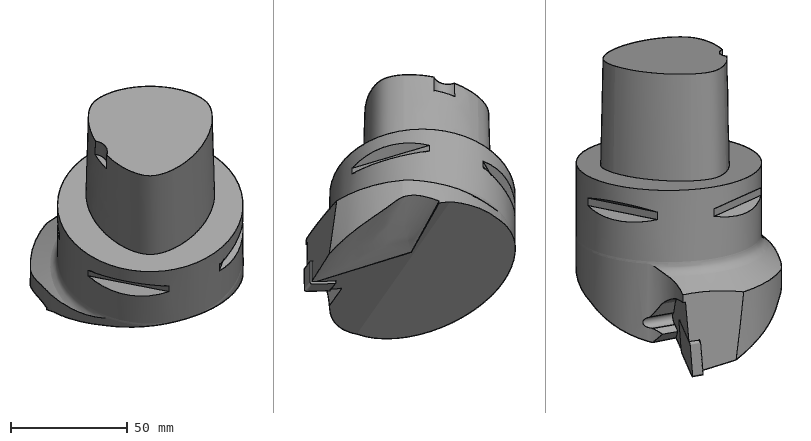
import cadquery as cq
import math


shank_length = 48.0
shank_diameter = 55.5
shank_tip_diameter = 53.5
lobe_rise = 2.0
lobe_half_turn = 33.0
driver_notch_radius = 6.3
driver_notch_depth = 8.3
driver_notch_axis_y = -28.6

flange_radius = 40.0
flange_height = 32.5
grip_groove_z = -11.6
grip_groove_floor_height = 3.4
grip_groove_floor_distance = 35.7
grip_groove_flank = 30.0

neck_fillet = 6.1
shoulder_slope = 30.0
head_back_radius = 40.1
gullet_end_turn = 155.8
wall_start_turn = -54.7
wall_y = -45.3
blank_radius = 70.0
blank_bottom = -90.0
big = 200.0

tip = (-55.03, 0.2, -80.64)
rake_slope_x = 0.15
rake_slope_z = 0.07
insert_edge = 15.5
insert_thickness = 4.8
insert_low_edge = 31.0
insert_corner = 57.0
insert_nose_radius = 0.8
corner_relief_diameter = 5.16
chip_space_length = 30.0


def polar(radius, degrees):
    angle = math.radians(degrees)
    return (radius * math.cos(angle), radius * math.sin(angle))


def lobed_section(diameter, z):
    def point(turn):
        """Outline point where the outward normal is `turn` degrees; one lobe faces +Y."""
        swing = math.radians(3 * (turn - 90))
        along_normal = polar(diameter / 2 + lobe_rise * math.cos(swing), turn)
        sideways = polar(-3 * lobe_rise * math.sin(swing), turn + 90)
        return cq.Vector(along_normal[0] + sideways[0], along_normal[1] + sideways[1], z)

    edges = []
    steps = 8
    for lobe in (90, 210, 330):
        seams = (lobe - lobe_half_turn, lobe + lobe_half_turn, lobe + 120 - lobe_half_turn)
        for start, end in zip(seams, seams[1:]):
            points = [point(start + (end - start) * i / steps) for i in range(steps + 1)]
            edges.append(cq.Edge.makeSpline(points))
    return cq.Wire.assembleEdges(edges)


shank = cq.Workplane(cq.Solid.makeLoft(
    [lobed_section(shank_diameter, 0), lobed_section(shank_tip_diameter, shank_length)], True))
driver_notch = (
    cq.Workplane("XY", origin=(0, driver_notch_axis_y, shank_length - driver_notch_depth))
    .circle(driver_notch_radius)
    .extrude(driver_notch_depth)
)
shank = shank.cut(driver_notch)


flange = cq.Workplane("XY").circle(flange_radius).extrude(-flange_height)
groove_reach = 10.0
groove_mouth = grip_groove_floor_height + 2 * groove_reach * math.tan(math.radians(grip_groove_flank))
grip_groove = (
    cq.Workplane("YZ", origin=(grip_groove_floor_distance, 0, grip_groove_z))
    .rect(2 * flange_radius, grip_groove_floor_height)
    .workplane(offset=groove_reach)
    .rect(2 * flange_radius, groove_mouth)
    .loft(ruled=True)
)
for turn in (45, 135, 225, 315):
    flange = flange.cut(grip_groove.rotate((0, 0, 0), (0, 0, 1), turn))


def flared_blank():
    slope = math.radians(shoulder_slope)
    fillet_center = (flange_radius + neck_fillet, -flange_height)
    fillet_middle = polar(neck_fillet, 180 + (90 - shoulder_slope) / 2)
    fillet_end = polar(neck_fillet, 270 - shoulder_slope)
    cone_start = (fillet_center[0] + fillet_end[0], fillet_center[1] + fillet_end[1])
    cone_end_z = cone_start[1] - (blank_radius - cone_start[0]) * math.tan(slope)
    return (
        cq.Workplane("XZ")
        .moveTo(0, -flange_height)
        .lineTo(flange_radius, -flange_height)
        .threePointArc(
            (fillet_center[0] + fillet_middle[0], fillet_center[1] + fillet_middle[1]), cone_start)
        .lineTo(blank_radius, cone_end_z)
        .lineTo(blank_radius, blank_bottom)
        .lineTo(0, blank_bottom)
        .close()
        .revolve(360, (0, 0, 0), (0, 1, 0))
    )


def head_outline():
    outer_x = -60.0
    back_start = polar(head_back_radius, gullet_end_turn)
    back_end = polar(head_back_radius, wall_start_turn)
    return (
        cq.Workplane("XY")
        .moveTo(outer_x, 4.0)
        .lineTo(-53.0, 4.1)
        .threePointArc((-42.3, 8.6), back_start)
        .threePointArc(polar(head_back_radius, (gullet_end_turn + wall_start_turn) / 2), back_end)
        .lineTo(20.7, -34.45)
        .threePointArc((5.3, -42.55), (-13.0, wall_y))
        .lineTo(-19.1, wall_y)
        .threePointArc((-23.2, -44.95), (-27.4, -43.8))
        .threePointArc((-39.3, -35.8), (-53.0, -16.0))
        .lineTo(outer_x, -10)
        .close()
        .extrude(blank_bottom)
    )


def block_behind_plane(point, normal, x_direction):
    plane = cq.Plane(origin=point, xDir=x_direction, normal=normal)
    return cq.Workplane(plane).rect(big, big).extrude(big)


def block_below(height_at_axis, slope_x, slope_y):
    """Everything under the plane Z = height_at_axis + slope_x * X + slope_y * Y."""
    return block_behind_plane((0, 0, height_at_axis), (slope_x, slope_y, -1), (1, 0, slope_x))


head = flared_blank().intersect(head_outline())

side_slope_y = -0.108
side_slope_z = 0.052
side_offset = -49.75
head = head.cut(block_behind_plane(
    (side_offset, 0, 0), (-1, side_slope_y, side_slope_z), (side_slope_y, 1, 0)))

heel_plane = block_below(height_at_axis=-48.6, slope_x=0.394, slope_y=-0.05)
nose_plane = block_below(height_at_axis=-46.5, slope_x=0.59, slope_y=-0.027)
head = head.cut(heel_plane.intersect(nose_plane))

relief_inner_ends = ((-53.5, -3.0, -78.0), (-11.0, -14.0, -52.4))
relief_wall_points = (
    (-53.9, -15.0, -77.2), (-46.6, -27.9, -69.7), (-39.7, -35.5, -64.2),
    (-32.7, -41.1, -58.0),
    (-27.4, -43.8, -53.1), (-19.1, wall_y, -50.6), (-11.0, wall_y, -50.6),
)
relief_overrun = 1.1


def underside_relief():
    start = cq.Vector(*relief_inner_ends[0])
    end = cq.Vector(*relief_inner_ends[1])
    wall_points = [cq.Vector(*point) for point in relief_wall_points]
    steps = len(wall_points) - 1
    inner_points = [start + (end - start) * (i / steps) for i in range(steps + 1)]
    outer_points = [
        inner + (wall - inner) * relief_overrun for inner, wall in zip(inner_points, wall_points)]
    surface = cq.Face.makeRuledSurface(
        cq.Edge.makeSpline(inner_points, parameters=range(steps + 1)),
        cq.Edge.makeSpline(outer_points, parameters=range(steps + 1)))
    return cq.Workplane(cq.Solid.extrudeLinear(surface, cq.Vector(0, 0, -big)))


head = head.cut(underside_relief())


rake_plane = cq.Plane(origin=tip, xDir=(1, rake_slope_x, 0), normal=(rake_slope_x, -1, rake_slope_z))
low_edge = polar(insert_edge, insert_low_edge)
side_edge = polar(insert_edge, insert_low_edge + insert_corner)
insert = (
    cq.Workplane(rake_plane)
    .polyline([(0, 0), low_edge, (low_edge[0] + side_edge[0], low_edge[1] + side_edge[1]), side_edge])
    .close()
    .extrude(insert_thickness)
    .edges(cq.selectors.ParallelDirSelector(rake_plane.zDir))
    .fillet(insert_nose_radius)
)

relief_corner = (19.3, 21.5)
chip_margin = -10.0
chip_right = 26.0
chip_top = 34.0
chip_space = (
    cq.Workplane(rake_plane)
    .moveTo(chip_margin, chip_top)
    .lineTo(7.5, chip_top)
    .threePointArc((12.5, 33.1), (16.7, 30.0))
    .lineTo(20.1, 24.05)
    .lineTo(*relief_corner)
    .lineTo(19.4, 18.8)
    .lineTo(16.3, 16.6)
    .lineTo(chip_right, 4.2)
    .lineTo(chip_right, chip_margin)
    .lineTo(chip_margin, chip_margin)
    .close()
    .extrude(-chip_space_length)
)
corner_relief = (
    cq.Workplane(rake_plane)
    .center(*relief_corner)
    .circle(corner_relief_diameter / 2)
    .extrude(-chip_space_length)
)
head = head.cut(chip_space).cut(corner_relief).cut(insert)

holder = shank.union(flange).union(head)

result = cq.Compound.makeCompound([holder.val(), insert.val()])